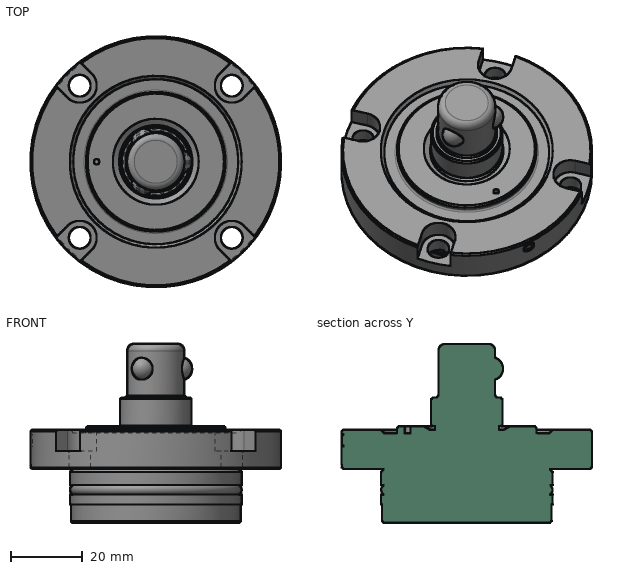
import cadquery as cq
import math

total_height = 50.0
step_top = 5.15
flange_bottom = 15.0
slot_floor = 20.0
flange_top = 26.0
cap_top = 27.0
collar_bottom = cap_top
collar_top = 35.0
ball_height = 43.0

foot_radius = 23.75
body_radius = 24.0
flange_radius = 35.0
cap_radius = 19.5
collar_radius = 10.0
neck_radius = 9.0
post_radius = 8.0

edge_chamfer = 0.5
collar_bottom_chamfer = 0.2
cap_foot_fillet = 0.5
body_top_chamfer = 0.8
post_base_chamfer = 0.5
post_top_fillet = 2.0

ring_height = 9.2
ring_groove_width = 2.65
ring_groove_depth = 0.75

moat_mouth_radius = 24.0
moat_floor_radius = 23.0
moat_floor = 25.0

recess_mouth_radius = 12.0
recess_radius = 10.25
recess_floor = 26.0

bolt_circle_radius = 30.0
bolt_hole_diameter = 6.0
bolt_seat_width = 9.5
bolt_count = 4

ball_count = 3
ball_radius = 3.25
ball_centre_radius = 6.95

vent_x = -16.5
vent_diameter = 1.5
vent_depth = 2.0

screw_height = 23.0
screw_diameter = 3.4
screw_tip_diameter = 2.3
screw_face_recess = 0.1


def disc(radius, bottom, top):
    return cq.Workplane("XY").workplane(offset=bottom).circle(radius).extrude(top - bottom)


def revolved(points):
    """Turn a closed (radius, height) outline about the Z axis."""
    return cq.Workplane("XZ").polyline(points).close().revolve(360, (0, 0), (0, 1))


def make_body():
    foot = disc(foot_radius, 0, step_top).faces("<Z").chamfer(edge_chamfer)
    barrel = disc(body_radius, step_top, flange_bottom)
    barrel = barrel.faces(">Z").chamfer(body_top_chamfer)
    return foot.union(barrel)


def make_ring_groove():
    root_radius = body_radius - ring_groove_depth
    bottom = ring_height - ring_groove_width / 2
    top = ring_height + ring_groove_width / 2
    return disc(body_radius, bottom, top).cut(disc(root_radius, bottom, top))


def make_ring():
    """Rounded ring that fills the groove and crests level with the body."""
    root_radius = body_radius - ring_groove_depth
    bottom = ring_height - ring_groove_width / 2
    top = ring_height + ring_groove_width / 2
    section = cq.Workplane("XZ").moveTo(0, bottom).lineTo(root_radius, bottom)
    section = section.threePointArc((body_radius, ring_height), (root_radius, top))
    return section.lineTo(0, top).close().revolve(360, (0, 0), (0, 1))


def make_cap():
    """Raised disc with a chamfered rim and a concave fillet around its foot."""
    cap = disc(cap_radius, moat_floor, cap_top).faces(">Z").chamfer(edge_chamfer)
    fillet_top = moat_floor + cap_foot_fillet
    arc_offset = cap_foot_fillet * (1 - math.sqrt(0.5))
    foot = cq.Workplane("XZ").moveTo(0, moat_floor).lineTo(cap_radius + cap_foot_fillet, moat_floor)
    foot = foot.threePointArc(
        (cap_radius + arc_offset, moat_floor + arc_offset),
        (cap_radius, fillet_top),
    )
    foot = foot.lineTo(0, fillet_top).close().revolve(360, (0, 0), (0, 1))
    return cap.union(foot)


def make_flange():
    flange = disc(flange_radius, flange_bottom, flange_top).edges().chamfer(edge_chamfer)
    moat = revolved([
        (0, moat_floor),
        (moat_floor_radius, moat_floor),
        (moat_mouth_radius, flange_top),
        (0, flange_top),
    ])
    recess = revolved([
        (0, recess_floor),
        (recess_radius, recess_floor),
        (recess_mouth_radius, cap_top),
        (0, cap_top),
    ])
    return flange.cut(moat).union(make_cap()).cut(recess)


def make_post():
    neck = disc(neck_radius, recess_floor, collar_bottom)
    collar = disc(collar_radius, collar_bottom, collar_top).faces(">Z").chamfer(edge_chamfer)
    collar = collar.faces("<Z").chamfer(collar_bottom_chamfer)
    base = revolved([
        (0, collar_top),
        (post_radius + post_base_chamfer, collar_top),
        (post_radius, collar_top + post_base_chamfer),
        (0, collar_top + post_base_chamfer),
    ])
    post = disc(post_radius, collar_top, total_height).faces(">Z").edges().fillet(post_top_fillet)
    return neck.union(collar).union(post).union(base)


def make_balls():
    balls = cq.Workplane("XY").workplane(offset=ball_height)
    return balls.polarArray(ball_centre_radius, 0, 360, ball_count).sphere(ball_radius)


def make_bolt_seat(angle):
    """Cutter for one bolt: a seat open to the rim and a through hole, at an angle from +X."""
    seat_depth = flange_top - slot_floor
    axis = cq.Workplane("XY").center(bolt_circle_radius, 0)
    level = axis.workplane(offset=slot_floor)
    seat = level.circle(bolt_seat_width / 2).extrude(seat_depth)
    opening_length = 2 * (flange_radius - bolt_circle_radius)
    opening = level.center(opening_length / 2, 0).rect(opening_length, bolt_seat_width).extrude(seat_depth)
    hole = axis.circle(bolt_hole_diameter / 2).extrude(flange_top)
    return seat.union(opening).union(hole).rotate((0, 0, 0), (0, 0, 1), angle)


def make_vent():
    top = cq.Workplane("XY").workplane(offset=cap_top)
    return top.center(vent_x, 0).circle(vent_diameter / 2).extrude(-vent_depth)


def make_screw_gap():
    """V-shaped gap around the chamfered end of the radial screw in the -X side."""
    chamfer = (screw_diameter - screw_tip_diameter) / 2
    rim = cq.Workplane("YZ", origin=(-flange_radius, 0, screw_height))
    pocket = rim.circle(screw_diameter / 2).extrude(screw_face_recess + chamfer)
    tip = rim.workplane(offset=screw_face_recess).circle(screw_tip_diameter / 2)
    tip = tip.workplane(offset=chamfer).circle(screw_diameter / 2).loft()
    return pocket.cut(tip)


result = make_body().cut(make_ring_groove()).union(make_ring())
result = result.union(make_flange()).union(make_post()).union(make_balls())
bolt_spacing = 360 / bolt_count
for index in range(bolt_count):
    result = result.cut(make_bolt_seat(bolt_spacing / 2 + index * bolt_spacing))
result = result.cut(make_vent()).cut(make_screw_gap())